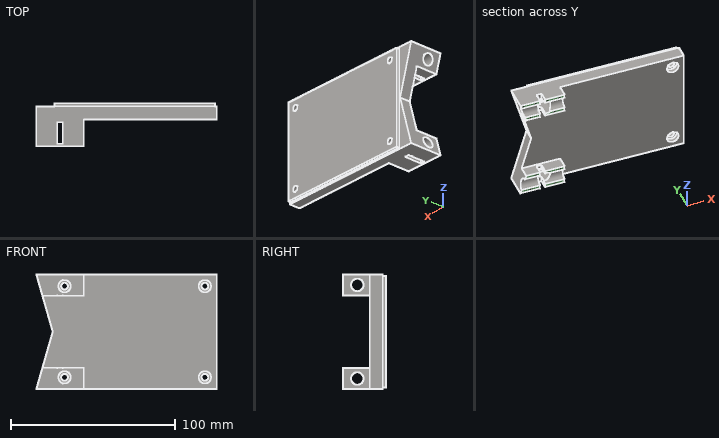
import cadquery as cq

length = 110.0
height = 70.0
plate_thickness = 8.0
notch_depth = 10.0

panel_thickness = 2.0
panel_margin = 1.0
panel_left = notch_depth + panel_margin

block_length = 29.0
block_height = 13.0
block_projection = 16.25

rod_diameter = 7.5
rod_offset = 7.5

slot_width = 3.2
slot_length = 13.0
slot_left = (block_length - slot_width) / 2
slot_front_wall = (block_projection - slot_length) / 2

screw_diameter = 4.0
counterbore_diameter = 7.5
counterbore_depth = 3.0
screw_edge_distance = 7.25
screw_left = 17.25
screw_right = length - screw_edge_distance

front_y = -block_projection
plate_back_y = plate_thickness
panel_back_y = plate_thickness + panel_thickness


def make_box(size, corner):
    """Box of the given size whose minimum corner is at corner."""
    return cq.Workplane("XY").box(*size, centered=False).translate(corner)


def make_cylinder(diameter, start, axis, reach):
    """Cylinder from the start point, running the given reach along axis."""
    solid = cq.Solid.makeCylinder(diameter / 2, reach, cq.Vector(*start), cq.Vector(*axis))
    return cq.Workplane(obj=solid)


def make_plate_and_blocks():
    body = make_box((length, plate_thickness, height), (0, 0, 0))
    for bottom in (0, height - block_height):
        block = make_box((block_length, block_projection, block_height), (0, front_y, bottom))
        body = body.union(block)
    return body


def make_notch():
    """V-shaped cutter for the left end, deepest at mid height."""
    corners = [(0, 0), (notch_depth, height / 2), (0, height)]
    return (
        cq.Workplane("XZ", origin=(0, plate_back_y, 0))
        .polyline(corners)
        .close()
        .extrude(plate_back_y - front_y)
    )


def make_panel():
    size = (length - panel_margin - panel_left, panel_thickness, height - 2 * panel_margin)
    return make_box(size, (panel_left, plate_back_y, panel_margin))


def make_rod_bore(z):
    return make_cylinder(rod_diameter, (0, -rod_offset, z), (1, 0, 0), block_length)


def make_slot():
    """Cutter over the full height, passing through both blocks."""
    corner = (slot_left, front_y + slot_front_wall, 0)
    return make_box((slot_width, slot_length, height), corner)


def make_screw_hole(x, z):
    """Through hole and counterbore, both starting at the front of the blocks."""
    start = (x, front_y, z)
    through = make_cylinder(screw_diameter, start, (0, 1, 0), panel_back_y - front_y)
    counterbore = make_cylinder(counterbore_diameter, start, (0, 1, 0), counterbore_depth - front_y)
    return through.union(counterbore)


result = make_plate_and_blocks().cut(make_notch()).union(make_panel()).cut(make_slot())

for rod_z in (block_height / 2, height - block_height / 2):
    result = result.cut(make_rod_bore(rod_z))

for screw_x in (screw_left, screw_right):
    for screw_z in (screw_edge_distance, height - screw_edge_distance):
        result = result.cut(make_screw_hole(screw_x, screw_z))